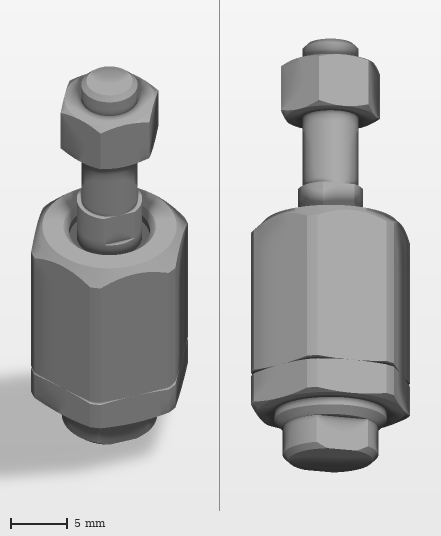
import cadquery as cq
import math

shank_diameter = 5.0
shank_tip_diameter = 4.12
shank_tip_chamfer = (shank_diameter - shank_tip_diameter) / 2
collar_diameter = 5.8
collar_top = 25.02
collar_flats_width = shank_diameter
collar_flats_bottom = 22.05
top_of_stud = 38.5

nut_across_flats = 8.0
nut_bottom = 31.72
nut_height = 4.77
nut_chamfer_angle = 30.0

housing_across_flats = 13.0
housing_corner_diameter = 14.5
housing_bottom = 4.4
sleeve_bottom = 7.45
housing_top = 21.9
housing_top_face_diameter = 11.95
joint_chamfer_height = 0.15
cap_chamfer_height = 0.27

bore_diameter = 7.2
bore_chamfer = 0.5
bore_depth = 1.2

shoulder_diameter = 10.0
shoulder_bottom = 3.0
shoulder_chamfer = 0.7
spigot_diameter = 8.5
spigot_flats_width = 7.05
spigot_chamfer = 0.5


def cylinder(diameter, bottom, top):
    return cq.Workplane("XY").workplane(offset=bottom).circle(diameter / 2).extrude(top - bottom)


def hex_prism(across_flats, bottom, top):
    """Hexagonal prism with two flats facing +X and -X."""
    across_corners = across_flats / math.cos(math.radians(30))
    prism = cq.Workplane("XY").workplane(offset=bottom).polygon(6, across_corners).extrude(top - bottom)
    return prism.rotate((0, 0, 0), (0, 0, 1), 30)


def turned_blank(diameter, bottom, top, bottom_face_diameter, bottom_height, top_face_diameter, top_height):
    """Cylinder with a conical chamfer at each end, used to trim the corners of a hexagon."""
    profile = [
        (0, bottom),
        (bottom_face_diameter / 2, bottom),
        (diameter / 2, bottom + bottom_height),
        (diameter / 2, top - top_height),
        (top_face_diameter / 2, top),
        (0, top),
    ]
    return cq.Workplane("XZ").polyline(profile).close().revolve(360, (0, 0), (0, 1))


def two_flats(diameter, width, bottom, top):
    """Round bar cut to the given width along X."""
    slab = cq.Workplane("XY").workplane(offset=bottom).rect(width, diameter).extrude(top - bottom)
    return cylinder(diameter, bottom, top).intersect(slab)


def make_housing_sleeve():
    top_chamfer_height = (housing_corner_diameter - housing_top_face_diameter) / 2
    blank = turned_blank(
        housing_corner_diameter, sleeve_bottom, housing_top,
        housing_across_flats, joint_chamfer_height,
        housing_top_face_diameter, top_chamfer_height,
    )
    sleeve = hex_prism(housing_across_flats, sleeve_bottom, housing_top).intersect(blank)
    bore = cylinder(bore_diameter, housing_top - bore_depth, housing_top)
    bored_sleeve = sleeve.cut(bore)
    bore_rim = cq.selectors.RadiusNthSelector(0)
    return bored_sleeve.faces(">Z").edges(bore_rim).chamfer(bore_chamfer)


def make_housing_cap():
    blank = turned_blank(
        housing_corner_diameter, housing_bottom, sleeve_bottom,
        housing_across_flats, cap_chamfer_height,
        housing_across_flats, joint_chamfer_height,
    )
    return hex_prism(housing_across_flats, housing_bottom, sleeve_bottom).intersect(blank)


def make_spigot():
    shoulder = cylinder(shoulder_diameter, shoulder_bottom, housing_bottom)
    shoulder = shoulder.faces("<Z").chamfer(shoulder_chamfer)
    turned = cylinder(spigot_diameter, 0, shoulder_bottom).faces("<Z").chamfer(spigot_chamfer)
    flats = two_flats(spigot_diameter, spigot_flats_width, 0, shoulder_bottom)
    return shoulder.union(turned.intersect(flats))


def make_stud():
    root = cylinder(collar_diameter, housing_top - bore_depth, collar_flats_bottom)
    collar = two_flats(collar_diameter, collar_flats_width, collar_flats_bottom, collar_top)
    shank = cylinder(shank_diameter, collar_top, top_of_stud).faces(">Z").chamfer(shank_tip_chamfer)
    return root.union(collar).union(shank)


def make_joint():
    """Floating joint: housing, spigot and stud in one solid."""
    return make_housing_sleeve().union(make_housing_cap()).union(make_spigot()).union(make_stud())


def make_nut():
    nut_top = nut_bottom + nut_height
    across_corners = nut_across_flats / math.cos(math.radians(30))
    chamfer_height = (across_corners - nut_across_flats) / 2 * math.tan(math.radians(nut_chamfer_angle))
    blank = turned_blank(
        across_corners, nut_bottom, nut_top,
        nut_across_flats, chamfer_height,
        nut_across_flats, chamfer_height,
    )
    hexagon = hex_prism(nut_across_flats, nut_bottom, nut_top).intersect(blank)
    return hexagon.cut(cylinder(shank_diameter, nut_bottom, nut_top))


joint = make_joint()
nut = make_nut()
result = cq.Compound.makeCompound([joint.val(), nut.val()])